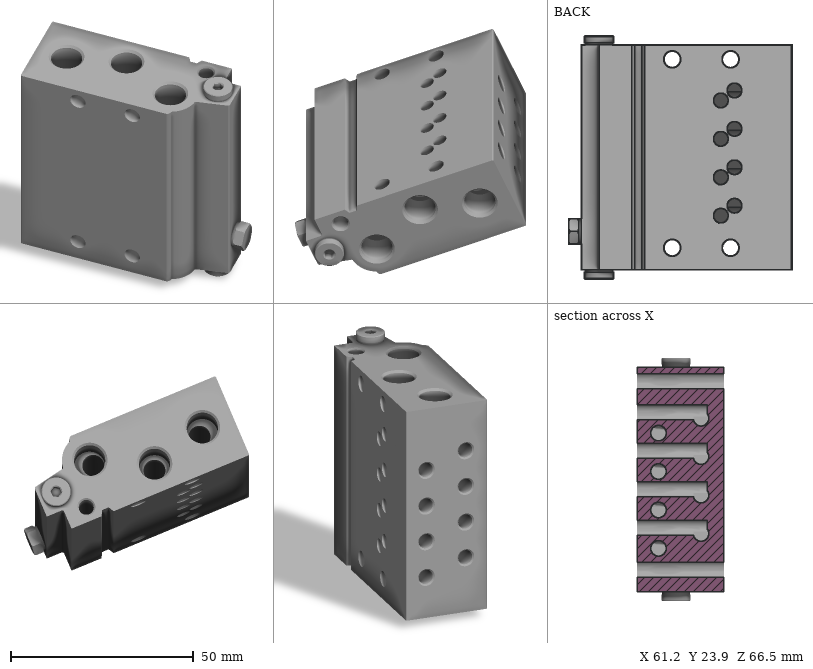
import cadquery as cq
import math

UP = (0, 0, 1)
DOWN = (0, 0, -1)
RIGHTWARD = (1, 0, 0)
BACKWARD = (0, 1, 0)
FORWARD = (0, -1, 0)

BLOCK_X = 57.7
BLOCK_Y = 23.9
BLOCK_Z = 61.5
FRONT_FACE_END = 42.95
LIP_MIDDLE = (43.55, 0.45)
LIP = (43.9, 1.3)
FLANK_RADIUS = 7.6
FLANK_MIDDLE_ANGLE = -35
FLANK_END_Y = 7.5
FLANK_END_FILLET = 0.3
NOSE_FRONT_Y = 9.4
NOSE_BACK_Y = 18.15
STEP_X = 52.8
STEP_FILLET = 0.6
EDGE_CHAMFER = 0.25
NOSE_CHAMFER = 0.3

GROOVE_CENTRE_X = 42.1
GROOVE_WIDTH = 3.6
GROOVE_FLOOR_WIDTH = 1.9
GROOVE_DEPTH = 1.5

LEFT_CHANNEL = (8.9, 11.85, 9.85, 12.1)
MIDDLE_CHANNEL = (24.9, 16.0, 24.9, 16.0)
RIGHT_CHANNEL = (40.8, 8.25, 39.8, 8.25)
CHANNEL_DIAMETER = 6.0
PORT_DIAMETER = 8.6
PORT_MOUTH_DIAMETER = 9.8
PORT_DEPTH = 10.0

SMALL_PORT_DIAMETER = 4.1
SMALL_MOUTH_DIAMETER = 5.0
PILOT_POSITION = (46.75, 19.9)

MOUNT_DIAMETER = 4.5
MOUNT_XS = (16.9, 32.85)
MOUNT_ZS = (6.05, 57.6)

STATIONS = 4
STATION_PITCH = 10.5
PASSAGE_DIAMETER = 4.0
FRONT_OUTLET_Y = 6.3
FRONT_OUTLET_Z = 15.95
FRONT_FLOOR_EDGE = 0.5
FRONT_PASSAGE_X = 15.8
FRONT_PASSAGE_RISE = 1.6
FRONT_PASSAGE_END_Y = 4.65
BACK_OUTLET_Y = 17.95
BACK_OUTLET_Z = 11.9
BACK_FLOOR_EDGE = 1.0
BACK_PASSAGE_X = 19.55
BACK_PASSAGE_RISE = 2.9
BACK_PASSAGE_END_Y = 15.3

OVERALL_Z = 66.5
PLUG_POSITION = (52.9, 13.2)
PLUG_DIAMETER = 8.0
PLUG_NECK_DIAMETER = 7.6
PLUG_NECK_HEIGHT = 0.65
PLUG_HEIGHT = (OVERALL_Z - BLOCK_Z) / 2
PLUG_CHAMFER = 0.2
SOCKET_FLATS = 2.65
SOCKET_MOUTH_DIAMETER = 3.4
SOCKET_DEPTH = 2.0
SOCKET_ANGLE = 30

SCREW_Y = 13.95
SCREW_Z = 10.5
SCREW_FLATS = 7.0
SCREW_COLLAR = 0.65
SCREW_TIP_X = 61.2
SCREW_CORNER_CUT = 0.3


def drill(body, start, direction, depth, diameter):
    """Cut a flat-bottomed hole that begins at start."""
    return body.cut(cq.Workplane(cq.Solid.makeCylinder(
        diameter / 2, depth, cq.Vector(*start), cq.Vector(*direction))))


def bevel_mouth(body, start, direction, diameter, mouth_diameter):
    """Cut a 45 degree bevel around the mouth of a hole."""
    depth = (mouth_diameter - diameter) / 2
    return body.cut(cq.Workplane(cq.Solid.makeCone(
        mouth_diameter / 2, diameter / 2, depth, cq.Vector(*start), cq.Vector(*direction))))


def upright_edge(x, y):
    """Selector for the vertical block edge at x, y."""
    return cq.selectors.NearestToPointSelector((x, y, BLOCK_Z / 2))


def block():
    """Block profile extruded to full height, with its upright edges broken."""
    flank_x, flank_y = RIGHT_CHANNEL[0], RIGHT_CHANNEL[1]
    flank_end_x = flank_x + math.sqrt(FLANK_RADIUS ** 2 - (flank_y - FLANK_END_Y) ** 2)
    mid_angle = math.radians(FLANK_MIDDLE_ANGLE)
    flank_mid = (flank_x + FLANK_RADIUS * math.cos(mid_angle),
                 flank_y + FLANK_RADIUS * math.sin(mid_angle))
    body = (
        cq.Workplane("XY")
        .moveTo(0, 0)
        .lineTo(FRONT_FACE_END, 0)
        .threePointArc(LIP_MIDDLE, LIP)
        .threePointArc(flank_mid, (flank_end_x, FLANK_END_Y))
        .lineTo(BLOCK_X, NOSE_FRONT_Y)
        .lineTo(BLOCK_X, NOSE_BACK_Y)
        .lineTo(STEP_X, NOSE_BACK_Y)
        .lineTo(STEP_X, BLOCK_Y)
        .lineTo(0, BLOCK_Y)
        .close()
        .extrude(BLOCK_Z)
    )
    body = body.edges("|Z and <X").chamfer(EDGE_CHAMFER)
    body = body.edges(upright_edge(BLOCK_X, NOSE_FRONT_Y)).chamfer(NOSE_CHAMFER)
    body = body.edges(upright_edge(flank_end_x, FLANK_END_Y)).fillet(FLANK_END_FILLET)
    return body.edges(upright_edge(STEP_X, NOSE_BACK_Y)).fillet(STEP_FILLET)


def grip_groove():
    """Flared groove over the full height of the back face."""
    return (
        cq.Workplane("XY")
        .polyline([
            (GROOVE_CENTRE_X - GROOVE_WIDTH / 2, BLOCK_Y),
            (GROOVE_CENTRE_X - GROOVE_FLOOR_WIDTH / 2, BLOCK_Y - GROOVE_DEPTH),
            (GROOVE_CENTRE_X + GROOVE_FLOOR_WIDTH / 2, BLOCK_Y - GROOVE_DEPTH),
            (GROOVE_CENTRE_X + GROOVE_WIDTH / 2, BLOCK_Y),
        ])
        .close()
        .extrude(BLOCK_Z)
    )


def cut_supply_channel(body, channel):
    """Channel through the full height, with a wider bevelled port at each end."""
    port_x, port_y, x, y = channel
    body = drill(body, (x, y, 0), UP, BLOCK_Z, CHANNEL_DIAMETER)
    for z, direction in ((0, UP), (BLOCK_Z, DOWN)):
        mouth = (port_x, port_y, z)
        body = drill(body, mouth, direction, PORT_DEPTH, PORT_DIAMETER)
        body = bevel_mouth(body, mouth, direction, PORT_DIAMETER, PORT_MOUTH_DIAMETER)
    return body


def cut_pilot_channel(body):
    x, y = PILOT_POSITION
    body = drill(body, (x, y, 0), UP, BLOCK_Z, SMALL_PORT_DIAMETER)
    for z, direction in ((0, UP), (BLOCK_Z, DOWN)):
        body = bevel_mouth(body, (x, y, z), direction, SMALL_PORT_DIAMETER, SMALL_MOUTH_DIAMETER)
    return body


def cut_mounting_holes(body):
    for x in MOUNT_XS:
        for z in MOUNT_ZS:
            body = drill(body, (x, 0, z), BACKWARD, BLOCK_Y, MOUNT_DIAMETER)
    return body


def cut_outlet_column(body, y, lowest_z, floor_edge, passage_x, passage_rise, passage_end_y):
    """Column of blind outlets in the left face, each met by a passage from the back face."""
    floor_offset = math.sqrt((PASSAGE_DIAMETER / 2) ** 2 - (passage_rise - floor_edge) ** 2)
    outlet_depth = passage_x + floor_offset
    passage_depth = BLOCK_Y - passage_end_y
    for station in range(STATIONS):
        z = lowest_z + station * STATION_PITCH
        mouth = (0, y, z)
        body = drill(body, mouth, RIGHTWARD, outlet_depth, SMALL_PORT_DIAMETER)
        body = bevel_mouth(body, mouth, RIGHTWARD, SMALL_PORT_DIAMETER, SMALL_MOUTH_DIAMETER)
        passage_mouth = (passage_x, BLOCK_Y, z + passage_rise)
        body = drill(body, passage_mouth, FORWARD, passage_depth, PASSAGE_DIAMETER)
    return body


def make_housing():
    body = block().cut(grip_groove())
    for channel in (LEFT_CHANNEL, MIDDLE_CHANNEL, RIGHT_CHANNEL):
        body = cut_supply_channel(body, channel)
    body = cut_pilot_channel(body)
    body = cut_mounting_holes(body)
    body = cut_outlet_column(
        body, FRONT_OUTLET_Y, FRONT_OUTLET_Z, FRONT_FLOOR_EDGE,
        FRONT_PASSAGE_X, FRONT_PASSAGE_RISE, FRONT_PASSAGE_END_Y)
    return cut_outlet_column(
        body, BACK_OUTLET_Y, BACK_OUTLET_Z, BACK_FLOOR_EDGE,
        BACK_PASSAGE_X, BACK_PASSAGE_RISE, BACK_PASSAGE_END_Y)


def across_corners(flats):
    """Corner-to-corner size of a hexagon, from its size across flats."""
    return flats / math.cos(math.radians(30))


def make_plug(base_z, direction):
    """Round plug on a narrower neck, with a bevelled hexagon socket in its outer face."""
    base = cq.Workplane(cq.Plane((*PLUG_POSITION, base_z), RIGHTWARD, direction))
    neck = base.circle(PLUG_NECK_DIAMETER / 2).extrude(PLUG_NECK_HEIGHT)
    head = (
        base.workplane(offset=PLUG_NECK_HEIGHT)
        .circle(PLUG_DIAMETER / 2)
        .extrude(PLUG_HEIGHT - PLUG_NECK_HEIGHT)
    )
    head = head.faces(cq.selectors.DirectionMinMaxSelector(cq.Vector(*direction))).chamfer(PLUG_CHAMFER)
    socket = (
        base.workplane(offset=PLUG_HEIGHT - SOCKET_DEPTH)
        .transformed(rotate=(0, 0, SOCKET_ANGLE))
        .polygon(6, across_corners(SOCKET_FLATS))
        .extrude(SOCKET_DEPTH)
    )
    plug = neck.union(head).cut(socket)
    outer_z = base_z + PLUG_HEIGHT * direction[2]
    inward = UP if direction == DOWN else DOWN
    return bevel_mouth(
        plug, (*PLUG_POSITION, outer_z), inward, SOCKET_FLATS, SOCKET_MOUTH_DIAMETER)


def make_screw():
    """Hexagon head on a round collar, its corners bevelled at both ends."""
    base = cq.Workplane("YZ", origin=(BLOCK_X, SCREW_Y, SCREW_Z))
    collar = base.circle(SCREW_FLATS / 2).extrude(SCREW_COLLAR)
    head_length = SCREW_TIP_X - BLOCK_X - SCREW_COLLAR
    corner_diameter = across_corners(SCREW_FLATS)
    head_plane = base.workplane(offset=SCREW_COLLAR)
    bevel_envelope = (
        head_plane.circle(corner_diameter / 2)
        .extrude(head_length)
        .edges()
        .chamfer(SCREW_CORNER_CUT)
    )
    head = head_plane.polygon(6, corner_diameter).extrude(head_length).intersect(bevel_envelope)
    return collar.union(head)


housing = make_housing()
top_plug = make_plug(BLOCK_Z, UP)
bottom_plug = make_plug(0, DOWN)
screw = make_screw()

result = cq.Compound.makeCompound([housing.val(), top_plug.val(), bottom_plug.val(), screw.val()])